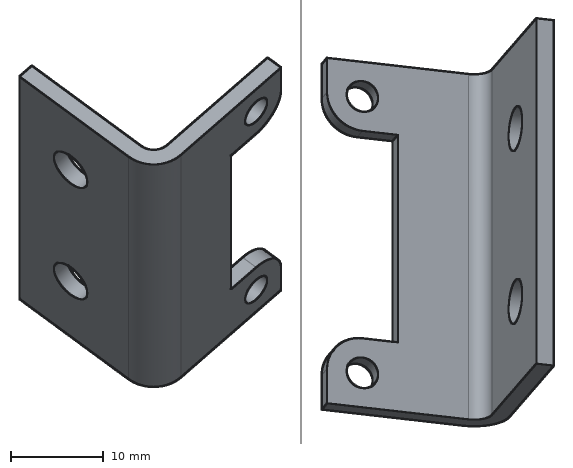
import cadquery as cq

leg_length = 20.0
height = 40.0
thickness = 2.0
inner_bend_radius = 2.0
outer_bend_radius = inner_bend_radius + thickness

mount_hole_diameter = 4.9
mount_hole_x = 7.5
mount_hole_spacing = height / 2

ear_width = 8.0
ear_radius = ear_width / 2
ear_hole_diameter = 3.5
notch_depth = 8.0
notch_height = height - 2 * ear_width


def bent_sheet():
    """L-shaped sheet with a rounded bend, extruded up from Z = 0."""
    inner_face_x = leg_length - thickness
    outer = cq.Workplane("XY").box(leg_length, leg_length, height, centered=False)
    outer = outer.edges("|Z and >X and <Y").fillet(outer_bend_radius)
    inner = (
        cq.Workplane("XY")
        .box(inner_face_x, leg_length - thickness, height, centered=False)
        .translate((0, thickness, 0))
        .edges("|Z and >X and <Y")
        .fillet(inner_bend_radius)
    )
    return outer.cut(inner)


def mounting_holes():
    """Two cylinders through the leg along X."""
    return (
        cq.Workplane("XZ")
        .center(mount_hole_x, height / 2)
        .rarray(0.4, mount_hole_spacing, 1, 2)
        .circle(mount_hole_diameter / 2)
        .extrude(-thickness)
    )


def ear_holes():
    """Two cylinders through the ears, concentric with their rounded corners."""
    return (
        cq.Workplane("YZ", origin=(leg_length - thickness, 0, 0))
        .center(leg_length - ear_radius, height / 2)
        .rarray(0.4, height - 2 * ear_radius, 1, 2)
        .circle(ear_hole_diameter / 2)
        .extrude(thickness)
    )


def notch():
    """Rectangular opening that separates the two ears."""
    return cq.Workplane("XY").box(thickness, notch_depth, notch_height, centered=False).translate(
        (leg_length - thickness, leg_length - notch_depth, ear_width)
    )


bracket = bent_sheet().cut(notch())

ear_corners = bracket.faces(">Y").edges("|X").edges(
    cq.selectors.BoxSelector(
        (0, 0, ear_width / 2),
        (2 * leg_length, 2 * leg_length, height - ear_width / 2),
    )
)
bracket = ear_corners.fillet(ear_radius)

result = bracket.cut(mounting_holes()).cut(ear_holes())